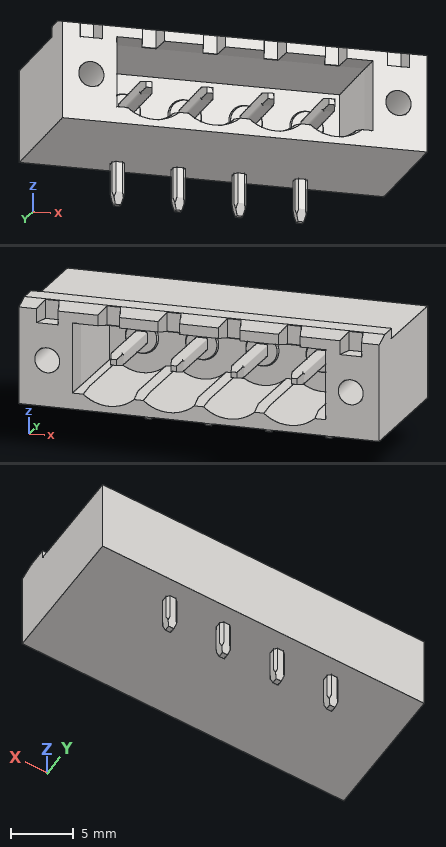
import cadquery as cq


LENGTH = 30.43
DEPTH = 12.0
HEIGHT = 8.58
DECK_HEIGHT = 7.73
LIP_DEPTH = 3.05
BEVEL_DEPTH = 1.37
BEVEL_DROP = 0.45

PIN_COUNT = 4
PIN_PITCH = 5.08
PIN_AXIS_HEIGHT = 3.9
FLANGE_HOLE_X = 12.8
FLANGE_HOLE_DIAMETER = 2.1
FLANGE_HOLE_DEPTH = 6.1
PIN_POSITIONS = [(i - (PIN_COUNT - 1) / 2) * PIN_PITCH for i in range(PIN_COUNT)]
FLANGE_POSITIONS = [-FLANGE_HOLE_X, FLANGE_HOLE_X]

CAVITY_WIDTH = 20.75
CAVITY_FLOOR = 1.67
CAVITY_CEILING = 6.95
CAVITY_DEPTH = 8.22
MOUTH_GROWTH = 0.3
MOUTH_DEPTH = 1.28
SCALLOP_RADIUS = 3.0
SCALLOP_TOP = 1.83

COLLAR_BASE_DIAMETER = 2.8
COLLAR_TOP_DIAMETER = 2.62
COLLAR_HEIGHT = 0.18

NOTCH_FRONT_WIDTH = 1.83
NOTCH_BACK_WIDTH = 1.15
NOTCH_DEPTH = 1.28
NOTCH_FLOOR = 6.97

PIN_WIDTH = 1.03
SOLDER_EDGE_CHAMFER = 0.25
CONTACT_EDGE_RADIUS = 0.15
PIN_TIP_WIDTH = 0.5
PIN_TIP_LENGTH = 0.97
PIN_TIP_SETBACK = 1.22
PIN_SOLDER_LENGTH = 3.5
PIN_BACK_INSET = 1.98


def make_shell():
    """Side outline with the stepped, bevelled lip, extruded along X."""
    outline = [
        (0, 0),
        (DEPTH, 0),
        (DEPTH, DECK_HEIGHT),
        (LIP_DEPTH, DECK_HEIGHT),
        (LIP_DEPTH, HEIGHT),
        (BEVEL_DEPTH, HEIGHT),
        (0, HEIGHT - BEVEL_DROP),
    ]
    return cq.Workplane("YZ").polyline(outline).close().extrude(LENGTH / 2, both=True)


def make_rectangular_cavity():
    """Straight rectangular pocket with a flared mouth."""
    height = CAVITY_CEILING - CAVITY_FLOOR
    middle = (CAVITY_CEILING + CAVITY_FLOOR) / 2
    back_plane = cq.Workplane("XZ", origin=(0, CAVITY_DEPTH, middle))
    straight = back_plane.rect(CAVITY_WIDTH, height).extrude(CAVITY_DEPTH)
    mouth = (
        cq.Workplane("XZ", origin=(0, MOUTH_DEPTH, middle))
        .rect(CAVITY_WIDTH, height)
        .workplane(offset=MOUTH_DEPTH)
        .rect(CAVITY_WIDTH + 2 * MOUTH_GROWTH, height + 2 * MOUTH_GROWTH)
        .loft()
    )
    return straight.union(mouth)


def make_scallop(x):
    """Lower part of a round channel on one pin axis, flared at the mouth."""
    profile = [
        (0, 0),
        (SCALLOP_RADIUS + MOUTH_GROWTH, 0),
        (SCALLOP_RADIUS, MOUTH_DEPTH),
        (SCALLOP_RADIUS, CAVITY_DEPTH),
        (0, CAVITY_DEPTH),
    ]
    channel = (
        cq.Workplane("XY", origin=(x, 0, PIN_AXIS_HEIGHT))
        .polyline(profile)
        .close()
        .revolve(360, (0, 0, 0), (0, 1, 0))
    )
    underside = cq.Workplane("XY", origin=(x, CAVITY_DEPTH / 2, 0))
    below = underside.rect(2 * SCALLOP_RADIUS, CAVITY_DEPTH).extrude(SCALLOP_TOP)
    return channel.intersect(below)


def make_collar(x):
    """Low, slightly conical disc standing on the back wall of the cavity."""
    return (
        cq.Workplane("XZ", origin=(x, CAVITY_DEPTH, PIN_AXIS_HEIGHT))
        .circle(COLLAR_BASE_DIAMETER / 2)
        .workplane(offset=COLLAR_HEIGHT)
        .circle(COLLAR_TOP_DIAMETER / 2)
        .loft()
    )


def make_notch(x):
    """Notch in the lip, narrowing towards the back."""
    outline = [
        (-NOTCH_FRONT_WIDTH / 2, 0),
        (NOTCH_FRONT_WIDTH / 2, 0),
        (NOTCH_BACK_WIDTH / 2, NOTCH_DEPTH),
        (-NOTCH_BACK_WIDTH / 2, NOTCH_DEPTH),
    ]
    notch_plane = cq.Workplane("XY", origin=(x, 0, NOTCH_FLOOR))
    return notch_plane.polyline(outline).close().extrude(HEIGHT - NOTCH_FLOOR)


def make_flange_hole(x):
    """Blind screw hole opening on the mating face."""
    hole_plane = cq.Workplane("XZ", origin=(x, 0, PIN_AXIS_HEIGHT))
    return hole_plane.circle(FLANGE_HOLE_DIAMETER / 2).extrude(-FLANGE_HOLE_DEPTH)


def make_square_bar(length):
    """Plain square bar along +Z."""
    return cq.Workplane("XY").rect(PIN_WIDTH, PIN_WIDTH).extrude(length)


def add_tip(bar, length):
    """Trim the start of a bar along +Z to a four-sided tapered tip ending at the origin."""
    tip = (
        cq.Workplane("XY")
        .rect(PIN_TIP_WIDTH, PIN_TIP_WIDTH)
        .workplane(offset=PIN_TIP_LENGTH)
        .rect(PIN_WIDTH, PIN_WIDTH)
        .loft()
    )
    shank = make_square_bar(length - PIN_TIP_LENGTH).translate((0, 0, PIN_TIP_LENGTH))
    return bar.intersect(tip.union(shank))


def make_pin(x):
    """Right-angle pin: contact leg along Y joined to a solder leg along Z."""
    solder_y = DEPTH - PIN_BACK_INSET
    contact_length = solder_y + PIN_WIDTH / 2 - PIN_TIP_SETBACK
    solder_length = PIN_SOLDER_LENGTH + PIN_AXIS_HEIGHT + PIN_WIDTH / 2
    contact_bar = make_square_bar(contact_length).edges("|Z").fillet(CONTACT_EDGE_RADIUS)
    contact = add_tip(contact_bar, contact_length).rotate((0, 0, 0), (1, 0, 0), -90)
    contact = contact.translate((x, PIN_TIP_SETBACK, PIN_AXIS_HEIGHT))
    solder_bar = make_square_bar(solder_length).edges("|Z").chamfer(SOLDER_EDGE_CHAMFER)
    solder = add_tip(solder_bar, solder_length).translate((x, solder_y, -PIN_SOLDER_LENGTH))
    return contact.union(solder)


def make_housing(pins):
    """Shell with cavity, collars, notches and flange holes, and a matching seat for every pin."""
    housing = make_shell().cut(make_rectangular_cavity())
    for x in PIN_POSITIONS:
        housing = housing.cut(make_scallop(x)).union(make_collar(x))
    for x in PIN_POSITIONS + FLANGE_POSITIONS:
        housing = housing.cut(make_notch(x))
    for x in FLANGE_POSITIONS:
        housing = housing.cut(make_flange_hole(x))
    for pin in pins:
        housing = housing.cut(pin)
    return housing


pins = [make_pin(x) for x in PIN_POSITIONS]
housing = make_housing(pins)

result = cq.Compound.makeCompound([housing.val()] + [pin.val() for pin in pins])